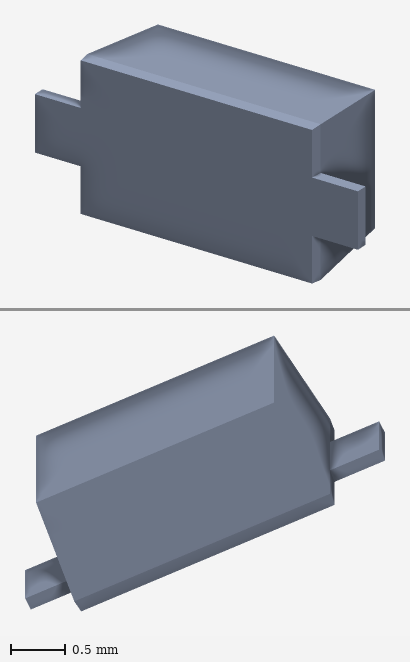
import cadquery as cq
import math

overall_length = 3.6
body_length = 2.6
body_width = 1.6
body_height = 1.15
draft_angle = 5.0

lead_thickness = 0.125
lead_width = 0.6

band_width = 0.15
band_depth = 0.1
band_center_x = -0.947

parting_y = lead_thickness
draft_slope = math.tan(math.radians(draft_angle))


def drafted_block(height_direction, height):
    """Block that tapers away from the parting plane; +1 runs toward +Y, -1 toward -Y."""
    plane = cq.Plane(origin=(0, parting_y, 0), xDir=(1, 0, 0), normal=(0, height_direction, 0))
    return cq.Workplane(plane).rect(body_length, body_width).extrude(height, taper=draft_angle)


def make_body_blank():
    upper_half = drafted_block(1, body_height - parting_y)
    lower_half = drafted_block(-1, parting_y)
    return upper_half.union(lower_half)


def make_band():
    """Straight-sided bar, flush with the +Y face and just as long as that face is wide."""
    face_width = body_width - 2 * draft_slope * (body_height - parting_y)
    return (
        cq.Workplane("XY")
        .box(band_width, band_depth, face_width, centered=(True, False, True))
        .translate((band_center_x, body_height - band_depth, 0))
    )


def make_lead(side, body_blank):
    """Flat lead on the -X (side = -1) or +X (side = 1) end, butting against the drafted wall."""
    lead_reach = overall_length / 2
    return (
        cq.Workplane("XY")
        .box(lead_reach, lead_thickness, lead_width, centered=(True, False, True))
        .translate((side * lead_reach / 2, 0, 0))
        .cut(body_blank)
    )


body_blank = make_body_blank()
band = make_band()
body = body_blank.cut(band)
leads = [make_lead(side, body_blank) for side in (-1, 1)]

result = cq.Compound.makeCompound(
    [body.solids().val(), band.val(), *[lead.solids().val() for lead in leads]]
)